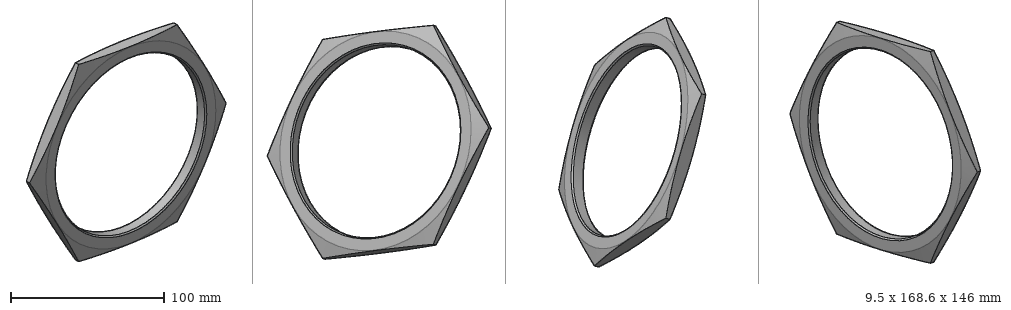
import cadquery as cq
import math

thickness = 9.5
across_corners = 168.6
bore_diameter = 128.0
bore_chamfer = 1.0
face_diameter = 145.5
corner_chamfer_angle = 15.0

half_thickness = thickness / 2
corner_radius = across_corners / 2
face_radius = face_diameter / 2
bore_radius = bore_diameter / 2
chamfer_drop = (corner_radius - face_radius) * math.tan(math.radians(corner_chamfer_angle))


def hexagon_blank():
    return cq.Workplane("YZ").polygon(6, across_corners).extrude(half_thickness, both=True)


def turned_envelope():
    """Revolved ring with conical outer faces and a chamfered bore."""
    edge_x = half_thickness - chamfer_drop
    bore_edge_x = half_thickness - bore_chamfer
    profile = [
        (-bore_edge_x, bore_radius),
        (-half_thickness, bore_radius + bore_chamfer),
        (-half_thickness, face_radius),
        (-edge_x, corner_radius),
        (edge_x, corner_radius),
        (half_thickness, face_radius),
        (half_thickness, bore_radius + bore_chamfer),
        (bore_edge_x, bore_radius),
    ]
    return cq.Workplane("XY").polyline(profile).close().revolve(360, (0, 0, 0), (1, 0, 0))


result = hexagon_blank().intersect(turned_envelope())